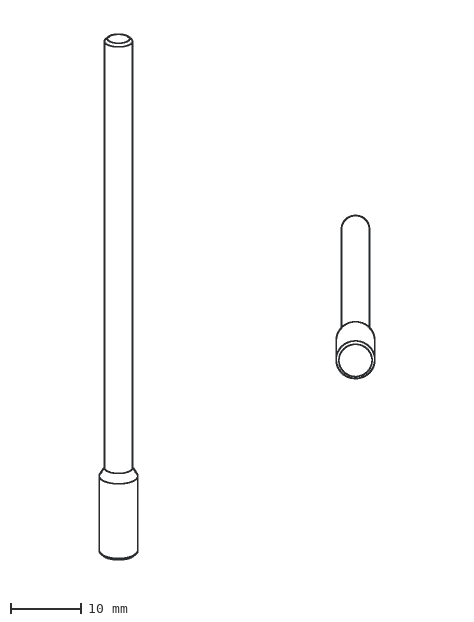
import cadquery as cq

total_length = 80.0
shank_diameter = 4.0
head_diameter = 5.5

head_length = 13.3
taper_length = 1.3
head_chamfer = 0.4
shank_chamfer = 0.4


def make_head():
    """Thick lower body with a chamfered bottom edge and a cone up to the shank."""
    radius = head_diameter / 2
    profile = (
        cq.Workplane("XZ")
        .moveTo(0, 0)
        .lineTo(radius - head_chamfer, 0)
        .lineTo(radius, head_chamfer)
        .lineTo(radius, head_length - taper_length)
        .lineTo(shank_diameter / 2, head_length)
        .lineTo(0, head_length)
        .close()
    )
    return profile.revolve(360, (0, 0, 0), (0, 1, 0))


def make_shank():
    """Long round rod standing on the head, chamfered at its free end."""
    return (
        cq.Workplane("XY", origin=(0, 0, head_length))
        .circle(shank_diameter / 2)
        .extrude(total_length - head_length)
        .faces(">Z")
        .chamfer(shank_chamfer)
    )


head = make_head()
shank = make_shank()

result = cq.Compound.makeCompound([head.val(), shank.val()])